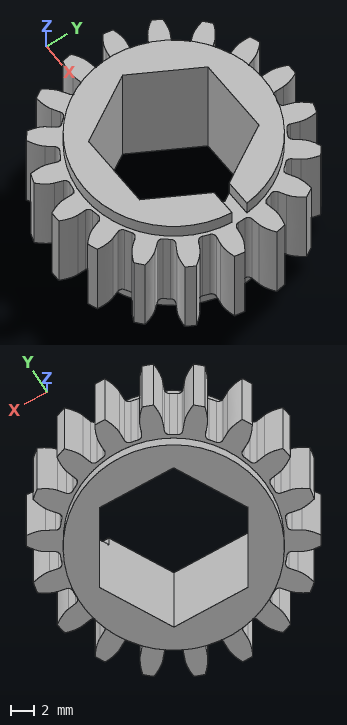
import cadquery as cq
import math

TOOTH_COUNT = 18
INCH = 25.4
DIAMETRAL_PITCH = 20
MODULE = INCH / DIAMETRAL_PITCH
PRESSURE_ANGLE = math.radians(14.5)
BACKLASH = 0.065
ROOT_FILLET_RADIUS = 0.45
DEDENDUM_FACTOR = 1.25
FLANK_STEPS = 6

PITCH_RADIUS = MODULE * TOOTH_COUNT / 2
TIP_RADIUS = PITCH_RADIUS + MODULE
ROOT_RADIUS = PITCH_RADIUS - DEDENDUM_FACTOR * MODULE
BASE_RADIUS = PITCH_RADIUS * math.cos(PRESSURE_ANGLE)
PITCH_THICKNESS = math.pi * MODULE / 2 - BACKLASH

TOTAL_HEIGHT = 12.65
GEAR_HEIGHT = 9.525
COLLAR_HEIGHT = (TOTAL_HEIGHT - GEAR_HEIGHT) / 2
COLLAR_DIAMETER = 19.05
HEX_ACROSS_FLATS = 12.78
SLOT_WIDTH = 1.6


def involute(angle):
    """Involute function: polar angle swept at a given pressure angle."""
    return math.tan(angle) - angle


def flank_point(radius):
    """Point on the +X flank of the tooth that is centred on +Y."""
    local_angle = math.acos(BASE_RADIUS / radius)
    pitch_half_angle = PITCH_THICKNESS / (2 * PITCH_RADIUS)
    half_angle = pitch_half_angle + involute(PRESSURE_ANGLE) - involute(local_angle)
    return (radius * math.sin(half_angle), radius * math.cos(half_angle))


def mirrored(point):
    """The same point on the -X side of the tooth."""
    return (-point[0], point[1])


def make_tooth():
    """Tooth centred on +Y: involute flanks, parallel lower sides and root fillets."""
    radial_step = (TIP_RADIUS - BASE_RADIUS) / FLANK_STEPS
    flank = [flank_point(BASE_RADIUS + i * radial_step) for i in range(FLANK_STEPS + 1)]
    half_width = flank[0][0]

    fillet_x = half_width + ROOT_FILLET_RADIUS
    fillet_reach = ROOT_RADIUS + ROOT_FILLET_RADIUS
    fillet_y = math.sqrt(fillet_reach**2 - fillet_x**2)
    side_start = (half_width, fillet_y)
    root_scale = ROOT_RADIUS / fillet_reach
    root_point = (fillet_x * root_scale, fillet_y * root_scale)
    middle_angle = math.pi + math.atan2(fillet_y, fillet_x) / 2
    fillet_middle = (
        fillet_x + ROOT_FILLET_RADIUS * math.cos(middle_angle),
        fillet_y + ROOT_FILLET_RADIUS * math.sin(middle_angle),
    )
    left_flank = [mirrored(point) for point in reversed(flank)]

    return (
        cq.Workplane("XY")
        .moveTo(*root_point)
        .threePointArc(fillet_middle, side_start)
        .lineTo(*flank[0])
        .spline(flank[1:], includeCurrent=True)
        .threePointArc((0, TIP_RADIUS), left_flank[0])
        .spline(left_flank[1:], includeCurrent=True)
        .lineTo(*mirrored(side_start))
        .threePointArc(mirrored(fillet_middle), mirrored(root_point))
        .lineTo(0, 0)
        .close()
        .extrude(GEAR_HEIGHT)
        .translate((0, 0, COLLAR_HEIGHT))
    )


def make_gear():
    """Root cylinder carrying the ring of teeth."""
    root_plane = cq.Workplane("XY").workplane(offset=COLLAR_HEIGHT)
    gear = root_plane.circle(ROOT_RADIUS).extrude(GEAR_HEIGHT)
    tooth = make_tooth()
    for i in range(TOOTH_COUNT):
        gear = gear.union(tooth.rotate((0, 0, 0), (0, 0, 1), i * 360 / TOOTH_COUNT))
    return gear


def make_collars():
    """Cylinder through the gear that stands out as a collar at both ends."""
    return cq.Workplane("XY").circle(COLLAR_DIAMETER / 2).extrude(TOTAL_HEIGHT)


def make_hex_bore():
    """Hexagonal through bore with corners on the X axis."""
    across_corners = HEX_ACROSS_FLATS / math.cos(math.pi / 6)
    return cq.Workplane("XY").polygon(6, across_corners).extrude(TOTAL_HEIGHT)


def make_collar_slot():
    """Slot through the +X side of the top collar, down to the gear face."""
    return (
        cq.Workplane("XY")
        .box(COLLAR_DIAMETER / 2, SLOT_WIDTH, COLLAR_HEIGHT, centered=(False, True, False))
        .translate((0, 0, TOTAL_HEIGHT - COLLAR_HEIGHT))
    )


result = make_gear().union(make_collars()).cut(make_hex_bore()).cut(make_collar_slot())